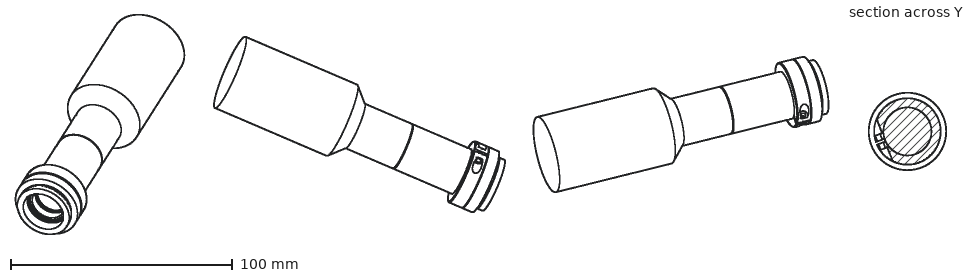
import cadquery as cq


total_length = 130.8
nose_back = 2.7
flange_front = 4.0
flange_back = 9.0
clamp_back = 16.0
groove_front = 44.9
cone_front = 68.8

body_radius = 17.5
neck_radius = 11.0
ring_radius = 15.0
nose_radius = 12.5
undercut_radius = 12.0
cone_back = cone_front + body_radius - neck_radius

mount_bore_radius = 9.7
mount_bore_depth = 5.0
stop_lip_radius = 9.3
stop_lip_length = 0.5
barrel_front = mount_bore_depth + stop_lip_length

mouth_radius = 8.6
mouth_depth = 0.7
recess_radius = 7.7
recess_depth = 3.9
shoulder_radius = 7.5
shoulder_depth = 0.5
well_radius = 7.0
well_depth = 0.7

groove_width = 0.4
groove_depth = 0.3

edge_chamfer = 0.4
slit_angle = 21.0
slit_width = 1.3
screw_distance = 13.1
shank_hole_radius = 1.0
head_hole_radius = 2.1
nut_hole_radius = 2.0
seat_height = 3.4


def revolved(profile):
    """Solid of revolution about Y from (radius, y) points."""
    return cq.Workplane("XY").polyline(profile).close().revolve(360, (0, 0, 0), (0, 1, 0))


def cylinder(radius, y_start, y_end):
    """Cylinder on the Y axis between two stations."""
    return cq.Workplane("XZ", origin=(0, y_start, 0)).circle(radius).extrude(y_start - y_end)


def make_barrel():
    """Body, cone and neck in one piece, with a witness groove and a stepped recess in front."""
    groove_floor = neck_radius - groove_depth
    barrel = revolved([
        (0, barrel_front),
        (neck_radius, barrel_front),
        (neck_radius, groove_front),
        (groove_floor, groove_front + groove_width),
        (neck_radius, groove_front + groove_width),
        (neck_radius, cone_front),
        (body_radius, cone_back),
        (body_radius, total_length),
        (0, total_length),
    ])
    steps = [
        (mouth_radius, mouth_depth),
        (recess_radius, recess_depth),
        (shoulder_radius, shoulder_depth),
        (well_radius, well_depth),
    ]
    step_start = barrel_front
    for radius, depth in steps:
        step_end = step_start + depth
        barrel = barrel.cut(cylinder(radius, step_start, step_end))
        step_start = step_end
    return barrel


def make_adapter():
    """Mounting nose and flange, bored through, with a lip that stops the barrel."""
    return revolved([
        (mount_bore_radius, 0),
        (nose_radius, 0),
        (nose_radius, nose_back),
        (undercut_radius, nose_back),
        (undercut_radius, flange_front),
        (ring_radius, flange_front),
        (ring_radius, flange_back),
        (neck_radius, flange_back),
        (neck_radius, barrel_front),
        (stop_lip_radius, barrel_front),
        (stop_lip_radius, mount_bore_depth),
        (mount_bore_radius, mount_bore_depth),
    ])


def make_clamp():
    """Split ring round the neck with a stepped screw hole across the slit."""
    ring = cylinder(ring_radius, flange_back, clamp_back).edges().chamfer(edge_chamfer)
    ring = ring.cut(cylinder(neck_radius, flange_back, clamp_back))

    middle = (flange_back + clamp_back) / 2
    width = clamp_back - flange_back
    slit = cq.Workplane("XY").box(ring_radius, width, slit_width)
    ring = ring.cut(slit.translate((-ring_radius, middle, 0)))
    screw_plane = cq.Workplane("XY", origin=(-screw_distance, middle, 0))
    shank_hole = screw_plane.circle(shank_hole_radius).extrude(seat_height, both=True)
    head_hole = screw_plane.workplane(offset=seat_height).circle(head_hole_radius).extrude(ring_radius)
    nut_hole = screw_plane.workplane(offset=-seat_height).circle(nut_hole_radius).extrude(-ring_radius)
    ring = ring.cut(shank_hole).cut(head_hole).cut(nut_hole)
    return ring.rotate((0, 0, 0), (0, 1, 0), -slit_angle)


barrel = make_barrel()
adapter = make_adapter()
clamp = make_clamp()

result = cq.Compound.makeCompound([barrel.val(), adapter.val(), clamp.val()])